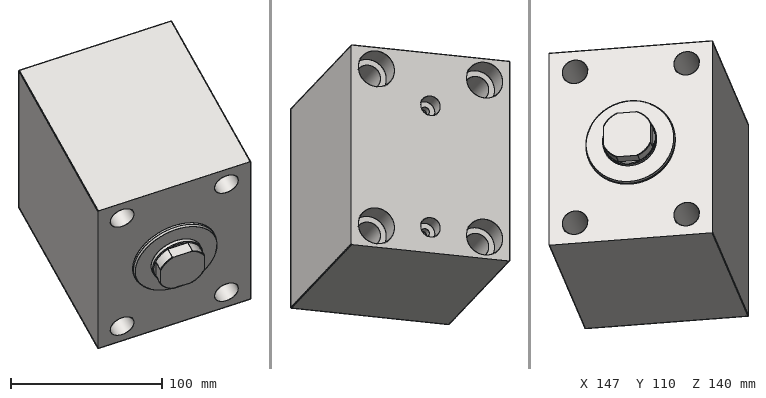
import cadquery as cq


BLOCK_LENGTH = 133.0
BLOCK_WIDTH = 110.0
BLOCK_HEIGHT = 140.0
EDGE_CHAMFER = 0.5

BOLT_SPACING_Y = 75.0
BOLT_SPACING_Z = 110.0
BOLT_HOLE_DIAMETER = 17.0
BOLT_COUNTERBORE_DIAMETER = 25.0
BOLT_COUNTERBORE_DEPTH = 18.0

PORT_HEIGHTS = (33.1, -52.0)
PORT_DIAMETER = 13.5
PORT_DEPTH = 12.0
PORT_DRILL_DIAMETER = 6.0
PORT_DRILL_DEPTH = 18.0

GLAND_DIAMETER = 60.0
GLAND_THICKNESS = 3.1
GLAND_CHAMFER_LENGTH = 1.6
GLAND_CHAMFER_HEIGHT = 0.6

ROD_DIAMETER = 36.0
ROD_END = 147.0
ROD_CHAMFER = 0.6
TIP_CHAMFER = 0.3
FLATS_LENGTH = 8.0
ACROSS_FLATS = 31.8
FLATS_CORNER_DIAMETER = ROD_DIAMETER - 2 * ROD_CHAMFER


def cylinder_along_x(diameter, start, end):
    """A round bar on the X axis, from X = start to X = end."""
    return cq.Workplane("YZ", origin=(start, 0, 0)).circle(diameter / 2).extrude(end - start)


def make_housing():
    """A block with long edges chamfered, four counterbored through holes and two ports."""
    block = cq.Workplane("XY").box(BLOCK_LENGTH, BLOCK_WIDTH, BLOCK_HEIGHT, centered=(False, True, True))
    block = block.edges("|X").chamfer(EDGE_CHAMFER)

    for side in (-1, 1):
        for level in (-1, 1):
            place = (0, side * BOLT_SPACING_Y / 2, level * BOLT_SPACING_Z / 2)
            hole = cylinder_along_x(BOLT_HOLE_DIAMETER, 0, BLOCK_LENGTH)
            counterbore = cylinder_along_x(BOLT_COUNTERBORE_DIAMETER, 0, BOLT_COUNTERBORE_DEPTH)
            block = block.cut(hole.translate(place)).cut(counterbore.translate(place))

    for height in PORT_HEIGHTS:
        place = (0, 0, height)
        port = cylinder_along_x(PORT_DIAMETER, 0, PORT_DEPTH)
        drill = cylinder_along_x(PORT_DRILL_DIAMETER, 0, PORT_DRILL_DEPTH)
        block = block.cut(port.translate(place)).cut(drill.translate(place))
    return block


def make_gland():
    """A flat ring around the rod, its front outer edge bevelled."""
    front = BLOCK_LENGTH + GLAND_THICKNESS
    bore_radius = ROD_DIAMETER / 2
    outer_radius = GLAND_DIAMETER / 2
    section = [
        (BLOCK_LENGTH, bore_radius),
        (BLOCK_LENGTH, outer_radius),
        (front - GLAND_CHAMFER_LENGTH, outer_radius),
        (front, outer_radius - GLAND_CHAMFER_HEIGHT),
        (front, bore_radius),
    ]
    return cq.Workplane("XY").polyline(section).close().revolve(360, (0, 0, 0), (1, 0, 0))


def make_rod():
    """A round rod with a chamfered shoulder and a square end, its round corners chamfered at the tip."""
    shoulder = ROD_END - FLATS_LENGTH
    body = cylinder_along_x(ROD_DIAMETER, BLOCK_LENGTH, shoulder).faces(">X").chamfer(ROD_CHAMFER)
    square = cq.Workplane("YZ", origin=(shoulder, 0, 0)).rect(ACROSS_FLATS, ACROSS_FLATS)
    square = square.extrude(FLATS_LENGTH)
    corners = cylinder_along_x(FLATS_CORNER_DIAMETER, shoulder, ROD_END).faces(">X").chamfer(TIP_CHAMFER)
    return body.union(square.intersect(corners))


housing = make_housing()
gland = make_gland()
rod = make_rod()

result = cq.Compound.makeCompound([housing.val(), gland.val(), rod.val()])